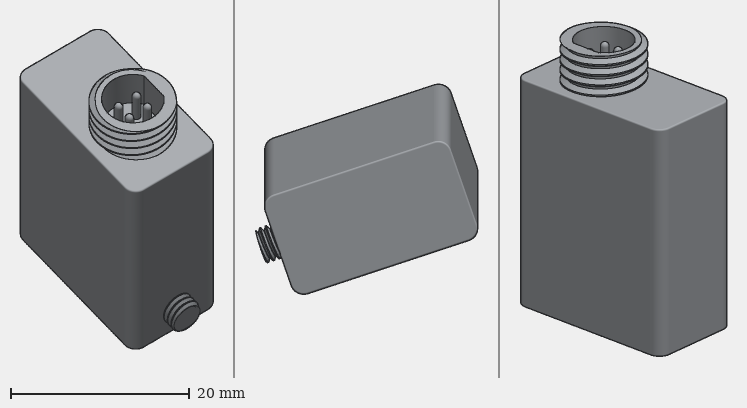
import cadquery as cq
import math

HOUSING_X = 21.98
HOUSING_Y = 12.0
HOUSING_Z = 28.0
CORNER_RADIUS = 1.52
RIM_RADIUS = 0.2

CONNECTOR_HEIGHT = 5.0
CONNECTOR_EDGE_DISTANCE = 8.0
CONNECTOR_X = HOUSING_X / 2 - CONNECTOR_EDGE_DISTANCE
CONNECTOR_CREST_DIAMETER = 9.87
CONNECTOR_ROOT_DIAMETER = 8.45
CONNECTOR_PITCH = 1.25
CONNECTOR_CREST_WIDTH = 0.15
CONNECTOR_CREST_ANGLE = 20
SOCKET_DIAMETER = 7.0
SOCKET_FLAT_OFFSET = 2.97

PIN_DIAMETER = 1.0
PIN_HEIGHT = 4.0
PIN_SPACING_X = 2.0
PIN_SPACING_Y = 2.5

SCREW_LENGTH = 2.0
SCREW_Z = 4.03
SCREW_CREST_DIAMETER = 4.0
SCREW_ROOT_DIAMETER = 3.1
SCREW_PITCH = 0.7
SCREW_CREST_WIDTH = 0.13
SCREW_CREST_ANGLE = 50

THREAD_HALF_ANGLE = 30
ROOT_OVERLAP = 0.03


def threaded_rod(crest_diameter, root_diameter, pitch, crest_width, crest_angle, length):
    """Right-hand threaded rod from z = 0 to z = length, cut off flat at both ends."""
    crest_radius = crest_diameter / 2
    base_radius = root_diameter / 2 - ROOT_OVERLAP
    flank_rise = (crest_radius - base_radius) * math.tan(math.radians(THREAD_HALF_ANGLE))
    half_crest = crest_width / 2
    half_base = half_crest + flank_rise

    turns = math.ceil(length / pitch) + 2
    helix = cq.Wire.makeHelix(pitch, turns * pitch, base_radius)
    ridge_section = (
        cq.Workplane("XZ")
        .moveTo(base_radius, -half_base)
        .lineTo(crest_radius, -half_crest)
        .lineTo(crest_radius, half_crest)
        .lineTo(base_radius, half_base)
        .close()
    )
    ridge = (
        ridge_section.sweep(cq.Workplane(helix), isFrenet=True)
        .translate((0, 0, -pitch))
        .rotate((0, 0, 0), (0, 0, 1), crest_angle)
    )
    trim_radius = crest_diameter
    trim = cq.Workplane("XY").circle(trim_radius).extrude(length)
    core = cq.Workplane("XY").circle(root_diameter / 2).extrude(length)
    return core.union(ridge.intersect(trim))


def make_housing():
    return (
        cq.Workplane("XY")
        .rect(HOUSING_X, HOUSING_Y)
        .extrude(HOUSING_Z)
        .edges("|Z")
        .fillet(CORNER_RADIUS)
        .faces("<Z or >Z")
        .edges()
        .fillet(RIM_RADIUS)
    )


def make_connector():
    sleeve = threaded_rod(
        CONNECTOR_CREST_DIAMETER,
        CONNECTOR_ROOT_DIAMETER,
        CONNECTOR_PITCH,
        CONNECTOR_CREST_WIDTH,
        CONNECTOR_CREST_ANGLE,
        CONNECTOR_HEIGHT,
    )
    beyond_flat = (
        cq.Workplane("XY")
        .center(0, SOCKET_FLAT_OFFSET + SOCKET_DIAMETER / 2)
        .rect(SOCKET_DIAMETER, SOCKET_DIAMETER)
        .extrude(CONNECTOR_HEIGHT)
    )
    socket = cq.Workplane("XY").circle(SOCKET_DIAMETER / 2).extrude(CONNECTOR_HEIGHT).cut(beyond_flat)
    return sleeve.cut(socket).translate((CONNECTOR_X, 0, HOUSING_Z))


def make_pin(x, y):
    """One contact pin with a hemispherical tip, standing on the housing top."""
    radius = PIN_DIAMETER / 2
    shoulder = PIN_HEIGHT - radius
    half_section = (
        cq.Workplane("XZ")
        .lineTo(radius, 0)
        .lineTo(radius, shoulder)
        .radiusArc((0, PIN_HEIGHT), -radius)
        .close()
    )
    return half_section.revolve(360, (0, 0), (0, 1)).translate((x, y, HOUSING_Z))


def make_screw():
    stud = threaded_rod(
        SCREW_CREST_DIAMETER,
        SCREW_ROOT_DIAMETER,
        SCREW_PITCH,
        SCREW_CREST_WIDTH,
        SCREW_CREST_ANGLE,
        SCREW_LENGTH,
    )
    return stud.rotate((0, 0, 0), (0, 1, 0), 90).translate((HOUSING_X / 2, 0, SCREW_Z))


housing = make_housing()
connector = make_connector()
screw = make_screw()
pins = [
    make_pin(CONNECTOR_X + side_x * PIN_SPACING_X / 2, side_y * PIN_SPACING_Y / 2)
    for side_x in (-1, 1)
    for side_y in (-1, 1)
]

result = cq.Compound.makeCompound(
    [housing.val(), connector.val(), screw.val(), *[pin.val() for pin in pins]]
)